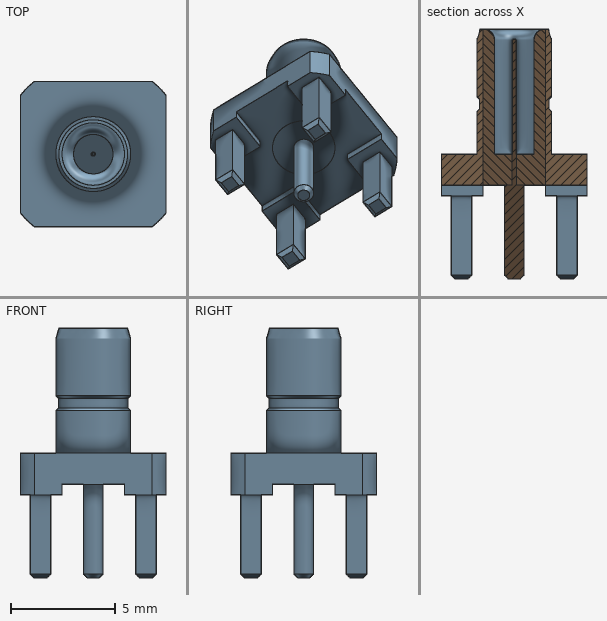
import cadquery as cq

TOTAL_HEIGHT = 12.0
BASE_BOTTOM = 4.0
RECESS_CEILING = 4.5
BASE_TOP = 6.0

BASE_WIDTH = 7.0
BASE_CORNER_DIAMETER = 9.0
CHANNEL_WIDTH = 3.0
LEG_WIDTH = 1.0
LEG_PITCH = 5.08
TIP_CHAMFER = 0.19

BARREL_DIAMETER = 3.6
BARREL_TOP_DIAMETER = 3.3
TAPER_HEIGHT = 0.5
GROOVE_DIAMETER = 3.35
GROOVE_BOTTOM = 8.04
GROOVE_TOP = 8.76
BARREL_BORE_DIAMETER = 3.0

SOCKET_DIAMETER = 1.9
SOCKET_FLOOR = BASE_TOP
INSULATOR_LAND = 0.05
MOUTH_RADIUS = (BARREL_BORE_DIAMETER - SOCKET_DIAMETER) / 2 - INSULATOR_LAND

TAIL_DIAMETER = 0.96
CONTACT_DIAMETER = 0.2
CONTACT_TOP = 11.52
CONTACT_CHAMFER = 0.05


def cylinder(diameter, bottom, top):
    return cq.Workplane("XY").workplane(offset=bottom).circle(diameter / 2).extrude(top - bottom)


def make_base():
    """Square block with corners on a common circle and a cross channel underneath."""
    height = BASE_TOP - BASE_BOTTOM
    block = cq.Workplane("XY").workplane(offset=BASE_BOTTOM).rect(BASE_WIDTH, BASE_WIDTH).extrude(height)
    base = block.intersect(cylinder(BASE_CORNER_DIAMETER, BASE_BOTTOM, BASE_TOP))
    for length_x, length_y in ((BASE_WIDTH, CHANNEL_WIDTH), (CHANNEL_WIDTH, BASE_WIDTH)):
        channel = (
            cq.Workplane("XY")
            .workplane(offset=BASE_BOTTOM)
            .rect(length_x, length_y)
            .extrude(RECESS_CEILING - BASE_BOTTOM)
        )
        base = base.cut(channel)
    return base


def make_legs():
    """Four square legs with chamfered tips."""
    return (
        cq.Workplane("XY")
        .rarray(LEG_PITCH, LEG_PITCH, 2, 2)
        .rect(LEG_WIDTH, LEG_WIDTH)
        .extrude(BASE_BOTTOM)
        .faces("<Z")
        .chamfer(TIP_CHAMFER)
    )


def make_barrel():
    """Round barrel with a tapered rim and a groove with 45 degree flanks."""
    outer = BARREL_DIAMETER / 2
    groove = GROOVE_DIAMETER / 2
    flank = outer - groove
    return (
        cq.Workplane("XZ")
        .moveTo(0, BASE_TOP)
        .lineTo(outer, BASE_TOP)
        .lineTo(outer, GROOVE_BOTTOM)
        .lineTo(groove, GROOVE_BOTTOM + flank)
        .lineTo(groove, GROOVE_TOP - flank)
        .lineTo(outer, GROOVE_TOP)
        .lineTo(outer, TOTAL_HEIGHT - TAPER_HEIGHT)
        .lineTo(BARREL_TOP_DIAMETER / 2, TOTAL_HEIGHT)
        .lineTo(0, TOTAL_HEIGHT)
        .close()
        .revolve(360, (0, 0, 0), (0, 1, 0))
    )


def make_housing():
    """Base, legs and barrel in one piece, bored through for the insulator."""
    bore = cylinder(BARREL_BORE_DIAMETER, RECESS_CEILING, TOTAL_HEIGHT)
    return make_base().union(make_legs()).union(make_barrel()).cut(bore)


def make_insulator():
    """Sleeve with a bell mouth, closed at the bottom except for the contact hole."""
    body = cylinder(BARREL_BORE_DIAMETER, RECESS_CEILING, TOTAL_HEIGHT)
    socket = cylinder(SOCKET_DIAMETER, SOCKET_FLOOR, TOTAL_HEIGHT)
    contact_hole = cylinder(CONTACT_DIAMETER, RECESS_CEILING, SOCKET_FLOOR)
    sleeve = body.cut(socket)
    mouth_edge = cq.selectors.RadiusNthSelector(0)
    return sleeve.faces(">Z").edges(mouth_edge).fillet(MOUTH_RADIUS).cut(contact_hole)


def make_pin():
    """Thick solder tail below the insulator and a thin contact through it."""
    tail = cylinder(TAIL_DIAMETER, 0, RECESS_CEILING).faces("<Z").chamfer(TIP_CHAMFER)
    contact = cylinder(CONTACT_DIAMETER, RECESS_CEILING, CONTACT_TOP).faces(">Z").chamfer(CONTACT_CHAMFER)
    return tail.union(contact)


housing = make_housing()
insulator = make_insulator()
pin = make_pin()
result = cq.Compound.makeCompound([housing.solids().val(), insulator.solids().val(), pin.solids().val()])